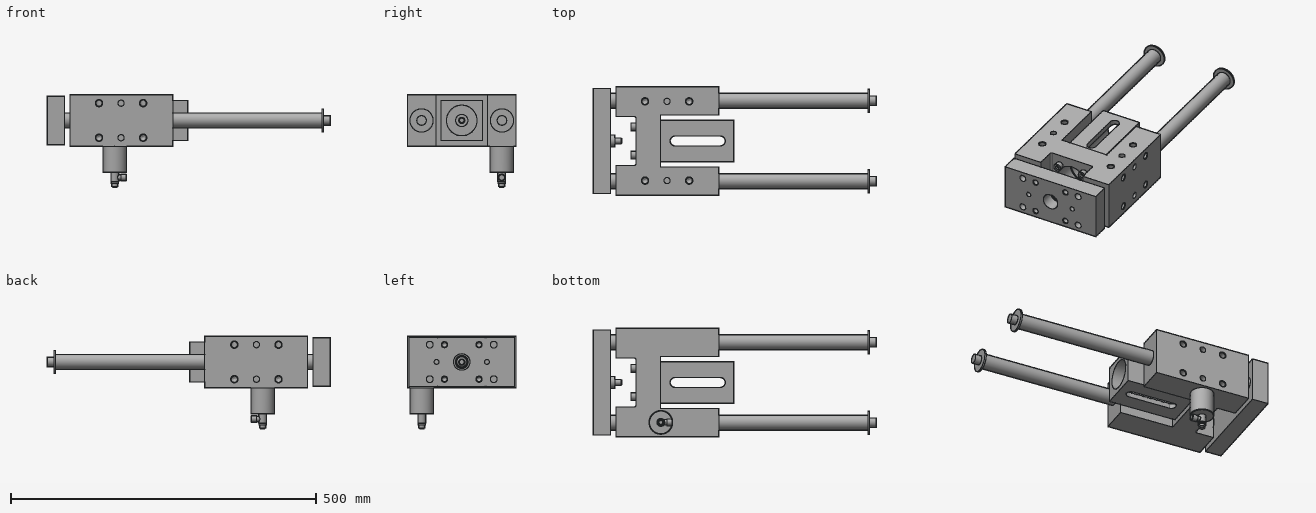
import cadquery as cq
TOTAL_LENGTH = 464.0

PLATE_LENGTH = 29.0
PLATE_WIDTH = 172.0
PLATE_HEIGHT = 80.0

ROD_DIA = 25.0
ROD_Y = 66.0
ROD_PIN_DIA = 16.0
ROD_PIN_LENGTH = 11.0
WASHER_DIA = 38.0
WASHER_THICKNESS = 3.0
WASHER_END_X = TOTAL_LENGTH - ROD_PIN_LENGTH
ROD_END_X = WASHER_END_X - WASHER_THICKNESS

DOWEL_DIA = 11.0
DOWEL_DEPTH = 18.5
DOWEL_Y = 52.5
PLATE_ROW_Z = 28.5
PLATE_TAP_DIA = 8.5
PLATE_TAP_MOUTH_DIA = 10.0
PLATE_TAP_DEPTH = 18.5
PLATE_TAP_Y = 28.5
PLATE_PIN_HOLE_DIA = 8.0
PLATE_PIN_HOLE_DEPTH = 14.0
PLATE_PIN_HOLE_Y = 41.5

RECESS_DIA = 27.0
RECESS_DEPTH = 23.0
COUPLING_HEAD_DIA = 21.5
COUPLING_HEAD_LENGTH = 2.0
COUPLING_COLLAR_DIA = 18.0
COUPLING_COLLAR_LENGTH = 2.0
COUPLING_CONE_DIA = 16.5
COUPLING_TIP_DIA = 10.0
COUPLING_CONE_LENGTH = 3.5
COUPLING_SOCKET_DIA = 8.5
COUPLING_SOCKET_DEPTH = 2.5
COUPLING_FLANGE_DIA = 20.0
COUPLING_FLANGE_LENGTH = 7.0
COUPLING_STUD_DIA = 10.0
COUPLING_STUD_LENGTH = 11.0
COUPLING_STUD_CHAMFER = 1.5

BLOCK_X = 37.0
BLOCK_LENGTH = 169.0
BLOCK_WIDTH = 178.0
BLOCK_HEIGHT = 85.0
BLOCK_END_X = BLOCK_X + BLOCK_LENGTH

FRONT_NOTCH_DEPTH = 33.0
FRONT_NOTCH_WIDTH = 80.0
FRONT_NOTCH_RADIUS = 3.0
REAR_NOTCH_WIDTH = 85.0
WEB_FRONT_X = BLOCK_X + FRONT_NOTCH_DEPTH
WEB_THICKNESS = 40.5
WEB_REAR_X = WEB_FRONT_X + WEB_THICKNESS

BARREL_LENGTH = 120.0
BARREL_WIDTH = 68.5
BARREL_HEIGHT = 66.0
BARREL_BORE_DIA = 50.0
WEB_BORE_DIA = 54.8
SLOT_WIDTH = 16.0
SLOT_LENGTH = 90.0
SLOT_START = 16.0

BOLT_OFFSET = 23.0
BOLT_HEAD_DIA = 13.0
BOLT_HEAD_LENGTH = 8.5
BOLT_SOCKET_DIA = 6.5
BOLT_SOCKET_DEPTH = 4.0

MOUNT_ROW_Z = 28.5
MOUNT_ROW_Y = 65.0
MOUNT_PITCH = 36.0
MOUNT_MID_X = BLOCK_X + 84.0
MOUNT_TAP_DIA = 10.0
MOUNT_TAP_MOUTH_DIA = 12.0
MOUNT_TAP_DEPTH = 24.0
MOUNT_DOWEL_DIA = 10.0
MOUNT_DOWEL_DEPTH = 12.0

SENSOR_X = BLOCK_X + 74.0
SENSOR_Y = 65.5
SENSOR_DIA = 39.0
SENSOR_LENGTH = 43.0
SENSOR_CHAMFER = 1.0
NECK_DIA = 13.0
NECK_LENGTH = 14.5
TIP_COLLAR_DIA = 12.5
GROOVE_DIA = 12.0
GROOVE_LENGTH = 1.0
TIP_COLLAR_LENGTH = 3.0
TIP_DIA = 10.0
TIP_LENGTH = 6.0
TIP_CHAMFER = 2.0
PORT_DROP = 8.0
PORT_NECK_DIA = 9.5
PORT_NECK_REACH = 9.7
PORT_DIA = 11.0
PORT_LENGTH = 9.7
PORT_CHAMFER = 1.0

DRILL_TIP_RATIO = 0.3
SIDES = (-1, 1)


def cylinder(dia, length, start, direction):
    """Solid cylinder that begins at `start` and runs along `direction`."""
    return cq.Workplane(cq.Solid.makeCylinder(dia / 2, length, cq.Vector(*start), cq.Vector(*direction)))


def cone(start_dia, end_dia, length, start, direction):
    """Solid cone frustum that begins at `start` and runs along `direction`."""
    return cq.Workplane(
        cq.Solid.makeCone(start_dia / 2, end_dia / 2, length, cq.Vector(*start), cq.Vector(*direction))
    )


def box(x_range, width, height):
    """Box between two X positions, centred on the mid planes."""
    start, end = x_range
    return cq.Workplane().box(end - start, width, height).translate(((start + end) / 2, 0, 0))


def tapped_hole(dia, mouth_dia, depth, start, direction):
    """Blind hole with a chamfered mouth and a conical drill tip."""
    bottom = cq.Vector(*start) + cq.Vector(*direction) * depth
    hole = cylinder(dia, depth, start, direction)
    mouth = cone(mouth_dia, dia, (mouth_dia - dia) / 2, start, direction)
    tip = cone(dia, 0, dia * DRILL_TIP_RATIO, bottom.toTuple(), direction)
    return hole.union(mouth).union(tip)


def drill_plate(plate):
    """Blind holes in the front face of the plate, placed symmetrically."""
    inward = (1, 0, 0)
    for side_y in SIDES:
        plate = plate.cut(
            cylinder(PLATE_PIN_HOLE_DIA, PLATE_PIN_HOLE_DEPTH, (0, side_y * PLATE_PIN_HOLE_Y, 0), inward)
        )
        for side_z in SIDES:
            z = side_z * PLATE_ROW_Z
            plate = plate.cut(cylinder(DOWEL_DIA, DOWEL_DEPTH, (0, side_y * DOWEL_Y, z), inward))
            tap_start = (0, side_y * PLATE_TAP_Y, z)
            plate = plate.cut(
                tapped_hole(PLATE_TAP_DIA, PLATE_TAP_MOUTH_DIA, PLATE_TAP_DEPTH, tap_start, inward)
            )
    return plate


def add_coupling(plate):
    """Recess in the plate with the stepped coupling head, and the flanged stud behind the plate."""
    forward = (-1, 0, 0)
    backward = (1, 0, 0)
    recess = cylinder(RECESS_DIA, RECESS_DEPTH, (0, 0, 0), backward)
    head = cylinder(COUPLING_HEAD_DIA, COUPLING_HEAD_LENGTH, (RECESS_DEPTH, 0, 0), forward)
    collar_x = RECESS_DEPTH - COUPLING_HEAD_LENGTH
    collar = cylinder(COUPLING_COLLAR_DIA, COUPLING_COLLAR_LENGTH, (collar_x, 0, 0), forward)
    cone_x = collar_x - COUPLING_COLLAR_LENGTH
    head_cone = cone(COUPLING_CONE_DIA, COUPLING_TIP_DIA, COUPLING_CONE_LENGTH, (cone_x, 0, 0), forward)
    tip_x = cone_x - COUPLING_CONE_LENGTH
    socket = cylinder(COUPLING_SOCKET_DIA, COUPLING_SOCKET_DEPTH, (tip_x, 0, 0), backward)
    flange = cylinder(COUPLING_FLANGE_DIA, COUPLING_FLANGE_LENGTH, (PLATE_LENGTH, 0, 0), backward)
    stud_x = PLATE_LENGTH + COUPLING_FLANGE_LENGTH
    stud = cylinder(COUPLING_STUD_DIA, COUPLING_STUD_LENGTH, (stud_x, 0, 0), backward)
    stud = stud.faces(">X").chamfer(COUPLING_STUD_CHAMFER)
    head = head.union(collar).union(head_cone.cut(socket))
    return plate.cut(recess).union(head).union(flange).union(stud)


def guide_rod(y):
    """Guide rod with its end washer and pin."""
    backward = (1, 0, 0)
    rod = cylinder(ROD_DIA, ROD_END_X - PLATE_LENGTH, (PLATE_LENGTH, y, 0), backward)
    washer = cylinder(WASHER_DIA, WASHER_THICKNESS, (ROD_END_X, y, 0), backward)
    pin = cylinder(ROD_PIN_DIA, ROD_PIN_LENGTH, (WASHER_END_X, y, 0), backward)
    return rod.union(washer).union(pin)


def make_carriage():
    carriage = drill_plate(box((0, PLATE_LENGTH), PLATE_WIDTH, PLATE_HEIGHT))
    carriage = add_coupling(carriage)
    for side in SIDES:
        carriage = carriage.union(guide_rod(side * ROD_Y))
    return carriage


def make_block():
    """H-shaped block: a front notch with rounded corners and a square rear notch."""
    block = box((BLOCK_X, BLOCK_END_X), BLOCK_WIDTH, BLOCK_HEIGHT)
    front_notch = box((BLOCK_X, WEB_FRONT_X), FRONT_NOTCH_WIDTH, BLOCK_HEIGHT)
    front_notch = front_notch.edges("|Z and >X").fillet(FRONT_NOTCH_RADIUS)
    rear_notch = box((WEB_REAR_X, BLOCK_END_X), REAR_NOTCH_WIDTH, BLOCK_HEIGHT)
    return block.cut(front_notch).cut(rear_notch)


def add_barrel(block):
    """Square cylinder barrel, slotted top and bottom, with a through bore that is wider in the web."""
    barrel_end_x = WEB_REAR_X + BARREL_LENGTH
    barrel = box((WEB_REAR_X, barrel_end_x), BARREL_WIDTH, BARREL_HEIGHT)
    slot_mid_x = WEB_REAR_X + SLOT_START + SLOT_LENGTH / 2
    slot = (
        cq.Workplane()
        .slot2D(SLOT_LENGTH, SLOT_WIDTH)
        .extrude(BARREL_HEIGHT / 2, both=True)
        .translate((slot_mid_x, 0, 0))
    )
    bore = cylinder(BARREL_BORE_DIA, BARREL_LENGTH, (WEB_REAR_X, 0, 0), (1, 0, 0))
    web_bore = cylinder(WEB_BORE_DIA, WEB_THICKNESS, (WEB_FRONT_X, 0, 0), (1, 0, 0))
    return block.union(barrel).cut(slot).cut(bore).cut(web_bore)


def add_cylinder_bolts(block):
    """Four socket-head bolts on the front face of the web, around the bore."""
    for side_y in SIDES:
        for side_z in SIDES:
            y = side_y * BOLT_OFFSET
            z = side_z * BOLT_OFFSET
            head = cylinder(BOLT_HEAD_DIA, BOLT_HEAD_LENGTH, (WEB_FRONT_X, y, z), (-1, 0, 0))
            socket_start = (WEB_FRONT_X - BOLT_HEAD_LENGTH, y, z)
            socket = cylinder(BOLT_SOCKET_DIA, BOLT_SOCKET_DEPTH, socket_start, (1, 0, 0))
            block = block.union(head.cut(socket))
    return block


def drill_mount_row(block, y, z, direction):
    """Row along X of two tapped holes with a plain dowel hole midway between them."""
    dowel_start = (MOUNT_MID_X, y, z)
    block = block.cut(cylinder(MOUNT_DOWEL_DIA, MOUNT_DOWEL_DEPTH, dowel_start, direction))
    for side in SIDES:
        tap_start = (MOUNT_MID_X + side * MOUNT_PITCH, y, z)
        block = block.cut(
            tapped_hole(MOUNT_TAP_DIA, MOUNT_TAP_MOUTH_DIA, MOUNT_TAP_DEPTH, tap_start, direction)
        )
    return block


def drill_mounting_holes(block):
    """Mounting rows in the top face and in both side faces."""
    for side in SIDES:
        block = drill_mount_row(block, side * MOUNT_ROW_Y, BLOCK_HEIGHT / 2, (0, 0, -1))
        for side_z in SIDES:
            block = drill_mount_row(block, side * BLOCK_WIDTH / 2, side_z * MOUNT_ROW_Z, (0, -side, 0))
    return block


def bore_rod_holes(block):
    for side in SIDES:
        block = block.cut(cylinder(ROD_DIA, BLOCK_LENGTH, (BLOCK_X, side * ROD_Y, 0), (1, 0, 0)))
    return block


def make_sensor():
    """Sensor below the block: body, stepped connector and a port pointing to +X."""
    down = (0, 0, -1)
    body_z = -BLOCK_HEIGHT / 2
    neck_z = body_z - SENSOR_LENGTH
    groove_z = neck_z - NECK_LENGTH
    collar_z = groove_z - GROOVE_LENGTH
    tip_z = collar_z - TIP_COLLAR_LENGTH
    body = cylinder(SENSOR_DIA, SENSOR_LENGTH, (SENSOR_X, SENSOR_Y, body_z), down)
    body = body.faces("<Z").chamfer(SENSOR_CHAMFER)
    neck = cylinder(NECK_DIA, NECK_LENGTH, (SENSOR_X, SENSOR_Y, neck_z), down)
    groove = cylinder(GROOVE_DIA, GROOVE_LENGTH, (SENSOR_X, SENSOR_Y, groove_z), down)
    collar = cylinder(TIP_COLLAR_DIA, TIP_COLLAR_LENGTH, (SENSOR_X, SENSOR_Y, collar_z), down)
    tip = cylinder(TIP_DIA, TIP_LENGTH, (SENSOR_X, SENSOR_Y, tip_z), down)
    tip = tip.faces("<Z").chamfer(TIP_CHAMFER)

    port_z = neck_z - PORT_DROP
    port_neck = cylinder(PORT_NECK_DIA, PORT_NECK_REACH, (SENSOR_X, SENSOR_Y, port_z), (1, 0, 0))
    port_start = (SENSOR_X + PORT_NECK_REACH, SENSOR_Y, port_z)
    port = cylinder(PORT_DIA, PORT_LENGTH, port_start, (1, 0, 0))
    port = port.faces(">X").chamfer(PORT_CHAMFER)
    return body.union(neck).union(groove).union(collar).union(tip).union(port_neck).union(port)


def make_housing():
    housing = add_barrel(make_block())
    housing = add_cylinder_bolts(housing)
    housing = drill_mounting_holes(housing)
    housing = bore_rod_holes(housing)
    return housing.union(make_sensor())


carriage = make_carriage()
housing = make_housing()
result = cq.Compound.makeCompound([carriage.val(), housing.val()])